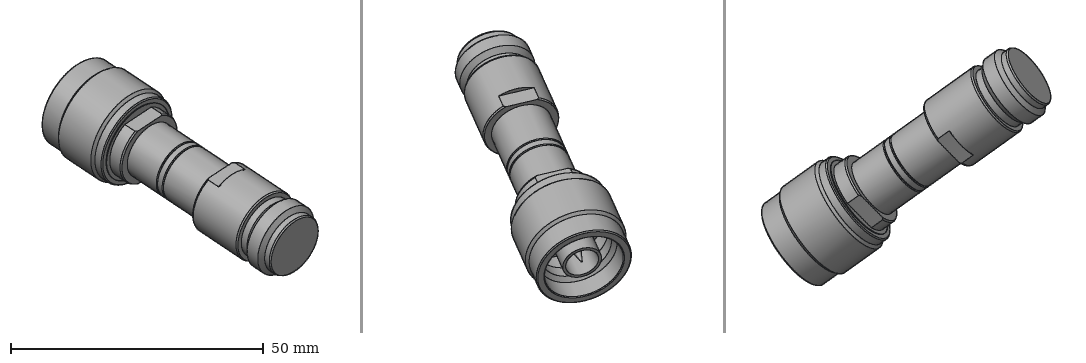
import cadquery as cq


NUT_RADIUS = 9.9
NUT_GRIP_RADIUS = 21.0 / 2
NUT_LENGTH = 17.0
NUT_FRONT_CHAMFER = 0.25
NUT_BACK_CHAMFER = 0.25
GRIP_START = 4.85
GRIP_END = 15.05
GRIP_BEVEL = NUT_GRIP_RADIUS - NUT_RADIUS
NUT_MOUTH_RADIUS = 8.2
NUT_MOUTH_CHAMFER = 0.2
NUT_MOUTH_DEPTH = 4.2
NUT_THROAT_RADIUS = 7.35
NUT_THROAT_START = 5.15
NUT_THROAT_END = 7.6

FLANGE_RADIUS = 8.75
FLANGE_START = 12.25
FLANGE_END = 17.2
SLEEVE_RADIUS = 4.05
SLEEVE_BORE_RADIUS = 3.4
SLEEVE_START = 1.35

COLLAR_RADIUS = 7.9
EDGE_CHAMFER = 0.35
EDGE_CHAMFER_RISE = 0.2
PLUG_COLLAR_END = 20.45
BARREL_RADIUS = 6.25
JACK_COLLAR_START = 40.3
JACK_COLLAR_END = 53.0
JACK_RADIUS = 13.5 / 2
RING_RADIUS = 7.85
RING_START = 54.6
RING_END = 59.55
RING_FRONT_BEVEL = 1.1
RING_BACK_BEVEL = 0.85
BODY_END = 61.2

GROOVE_CENTRES = (28.75, 30.4)
GROOVE_HALF_WIDTH = 0.2
GROOVE_DEPTH = 0.2

FLAT_HEIGHT = 7.0
JACK_FLAT_END = 43.5

PIN_RADIUS = 0.85
PIN_TIP = 1.6
PIN_TIP_LENGTH = 3.05
PIN_TIP_RADIUS = 0.1
PIN_ROOT_RADIUS = 3.25 / 2
PIN_ROOT_LENGTH = 3.05


def turn(profile):
    """Revolve a closed outline of (x, radius) points about the X axis."""
    return cq.Workplane("XY").polyline(profile).close().revolve(360, (0, 0, 0), (1, 0, 0))


def cylinder(radius, start, end):
    """A cylinder on the X axis between two places."""
    return cq.Workplane("YZ", origin=(start, 0, 0)).circle(radius).extrude(end - start)


def make_nut():
    """Sleeve-shaped nut with a bevelled grip band and a stepped bore."""
    return turn([
        (NUT_MOUTH_CHAMFER, NUT_MOUTH_RADIUS),
        (0, NUT_MOUTH_RADIUS + NUT_MOUTH_CHAMFER),
        (0, NUT_RADIUS - NUT_FRONT_CHAMFER),
        (NUT_FRONT_CHAMFER, NUT_RADIUS),
        (GRIP_START, NUT_RADIUS),
        (GRIP_START + GRIP_BEVEL, NUT_GRIP_RADIUS),
        (GRIP_END - GRIP_BEVEL, NUT_GRIP_RADIUS),
        (GRIP_END, NUT_RADIUS),
        (NUT_LENGTH - NUT_BACK_CHAMFER, NUT_RADIUS),
        (NUT_LENGTH, NUT_RADIUS - NUT_BACK_CHAMFER),
        (NUT_LENGTH, FLANGE_RADIUS),
        (NUT_THROAT_END, FLANGE_RADIUS),
        (NUT_THROAT_END, NUT_THROAT_RADIUS),
        (NUT_THROAT_START, NUT_THROAT_RADIUS),
        (NUT_MOUTH_DEPTH, NUT_MOUTH_RADIUS),
    ])


def make_pin():
    """Pointed contact pin whose thicker root sits in the body."""
    root_end = FLANGE_START + PIN_ROOT_LENGTH
    return turn([
        (PIN_TIP, 0),
        (PIN_TIP, PIN_TIP_RADIUS),
        (PIN_TIP + PIN_TIP_LENGTH, PIN_RADIUS),
        (FLANGE_START, PIN_RADIUS),
        (FLANGE_START, PIN_ROOT_RADIUS),
        (root_end, PIN_ROOT_RADIUS),
        (root_end, 0),
    ])


def make_body_blank():
    """Flange, collars, barrel and jack end as one turned solid."""
    chamfered_radius = COLLAR_RADIUS - EDGE_CHAMFER_RISE
    return turn([
        (FLANGE_START, 0),
        (FLANGE_START, FLANGE_RADIUS),
        (FLANGE_END, FLANGE_RADIUS),
        (FLANGE_END, COLLAR_RADIUS),
        (PLUG_COLLAR_END - EDGE_CHAMFER, COLLAR_RADIUS),
        (PLUG_COLLAR_END, chamfered_radius),
        (PLUG_COLLAR_END, BARREL_RADIUS),
        (JACK_COLLAR_START, BARREL_RADIUS),
        (JACK_COLLAR_START, chamfered_radius),
        (JACK_COLLAR_START + EDGE_CHAMFER, COLLAR_RADIUS),
        (JACK_COLLAR_END - EDGE_CHAMFER, COLLAR_RADIUS),
        (JACK_COLLAR_END, chamfered_radius),
        (JACK_COLLAR_END, JACK_RADIUS),
        (RING_START, JACK_RADIUS),
        (RING_START + RING_FRONT_BEVEL, RING_RADIUS),
        (RING_END - RING_BACK_BEVEL, RING_RADIUS),
        (RING_END, JACK_RADIUS),
        (BODY_END - EDGE_CHAMFER, JACK_RADIUS),
        (BODY_END, JACK_RADIUS - EDGE_CHAMFER_RISE),
        (BODY_END, 0),
    ])


def groove_cutter(centre):
    """Ring with a triangular section that cuts one V groove."""
    return turn([
        (centre - GROOVE_HALF_WIDTH, BARREL_RADIUS),
        (centre, BARREL_RADIUS - GROOVE_DEPTH),
        (centre + GROOVE_HALF_WIDTH, BARREL_RADIUS),
    ])


def flat_cutter(start, end, side):
    """Block that cuts one wrench flat; side is +1 for the top and -1 for the bottom."""
    height = COLLAR_RADIUS
    return cq.Workplane("XY").box(end - start, 2 * COLLAR_RADIUS, height).translate(
        ((start + end) / 2, 0, side * (FLAT_HEIGHT + height / 2))
    )


def make_body():
    """Body with its plug sleeve, grooves, wrench flats and the recess for the pin root."""
    body = make_body_blank()
    sleeve = cylinder(SLEEVE_RADIUS, SLEEVE_START, FLANGE_START)
    body = body.union(sleeve.cut(cylinder(SLEEVE_BORE_RADIUS, SLEEVE_START, FLANGE_START)))
    for centre in GROOVE_CENTRES:
        body = body.cut(groove_cutter(centre))
    for side in (1, -1):
        body = body.cut(flat_cutter(FLANGE_END, PLUG_COLLAR_END, side))
        body = body.cut(flat_cutter(JACK_COLLAR_START, JACK_FLAT_END, side))
    return body.cut(cylinder(PIN_ROOT_RADIUS, FLANGE_START, FLANGE_START + PIN_ROOT_LENGTH))


coupling_nut = make_nut()
body = make_body()
centre_pin = make_pin()

result = cq.Compound.makeCompound([coupling_nut.val(), body.val(), centre_pin.val()])